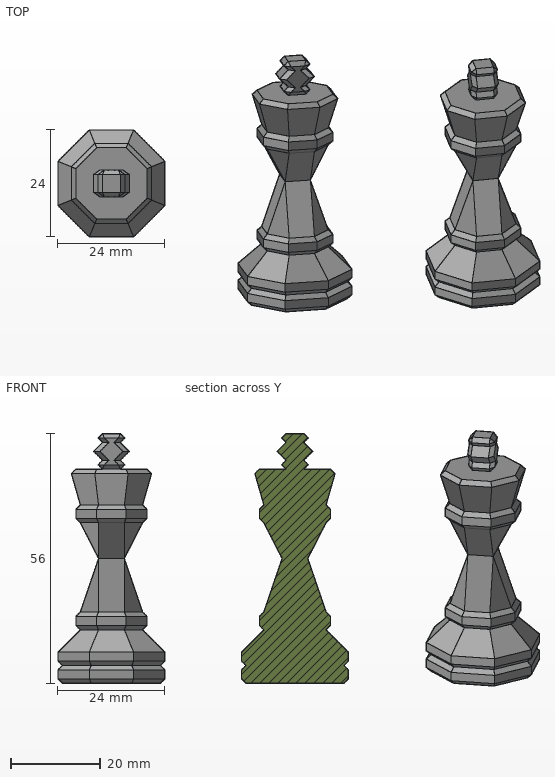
import cadquery as cq
import math


BASE_RINGS = [
    (0, 11),
    (1, 12),
    (3, 12),
    (4, 11),
    (5, 12),
    (7, 12),
    (12, 7),
    (13, 8),
    (15, 8),
    (16, 7),
]
HEAD_RINGS = [
    (36, 7),
    (37, 8),
    (39, 8),
    (40, 7),
    (47, 9),
    (48, 8),
]

WAIST_HEIGHT = 28
OCTAGON_SIDES = 8
HALF_SECTOR = math.pi / OCTAGON_SIDES
OCTAGON_HALF_SIDE_RATIO = math.tan(HALF_SECTOR)

CROSS_HEIGHT = 8
CROSS_THICKNESS = 6
CROSS_BEVEL = 1
CROSS_DIAMONDS = [(-3, 3), (0, 4), (3, 3)]


def square_wire(height, half_width, turn=0):
    square = cq.Workplane("XY").rect(2 * half_width, 2 * half_width).val()
    return square.rotate(cq.Vector(0, 0, 0), cq.Vector(0, 0, 1), turn).translate(cq.Vector(0, 0, height))


def octagon_wire(height, half_width):
    half_side = half_width * OCTAGON_HALF_SIDE_RATIO
    radius = math.hypot(half_width, half_side)
    corner_angles = [(2 * i + 1) * HALF_SECTOR for i in range(OCTAGON_SIDES)]
    corners = [
        cq.Vector(radius * math.cos(angle), radius * math.sin(angle), height)
        for angle in corner_angles
    ]
    return cq.Wire.makePolygon(corners, close=True)


def octagonal_stack(rings):
    """Flat facets joining each octagonal ring to the next."""
    wires = [octagon_wire(height, half_width) for height, half_width in rings]
    return cq.Workplane(obj=cq.Solid.makeLoft(wires, True))


def waist_taper(ring):
    """Octagonal ring narrowing to the square waist; four facets end in a point at its corners."""
    ring_height, ring_half_width = ring
    waist_half_width = ring_half_width * OCTAGON_HALF_SIDE_RATIO

    def square_taper(waist_distance, turn):
        wires = [
            square_wire(ring_height, ring_half_width, turn),
            square_wire(WAIST_HEIGHT, waist_distance, turn),
        ]
        return cq.Workplane(obj=cq.Solid.makeLoft(wires, True))

    straight = square_taper(waist_half_width, 0)
    diagonal = square_taper(waist_half_width * math.sqrt(2), 45)
    return straight.intersect(diagonal)


def bevelled_block(width, height):
    """Block centred on the origin with bevelled edges around its front and back."""
    block = cq.Workplane("XY").box(width, CROSS_THICKNESS, height)
    return block.faces("<Y or >Y").edges().chamfer(CROSS_BEVEL)


def cross(foot_height):
    diamonds = cq.Workplane("XY")
    for offset, half_diagonal in CROSS_DIAMONDS:
        side = half_diagonal * math.sqrt(2)
        diamond = bevelled_block(side, side).rotate((0, 0, 0), (0, 1, 0), 45)
        diamonds = diamonds.union(diamond.translate((0, 0, offset)))

    widest_half_diagonal = max(half_diagonal for _, half_diagonal in CROSS_DIAMONDS)
    envelope_width = 2 * (widest_half_diagonal + 2 * CROSS_BEVEL)
    envelope = bevelled_block(envelope_width, CROSS_HEIGHT)
    return diamonds.intersect(envelope).translate((0, 0, foot_height + CROSS_HEIGHT / 2))


head_top = HEAD_RINGS[-1][0]

result = (
    octagonal_stack(BASE_RINGS)
    .union(waist_taper(BASE_RINGS[-1]))
    .union(waist_taper(HEAD_RINGS[0]))
    .union(octagonal_stack(HEAD_RINGS))
    .union(cross(head_top))
)